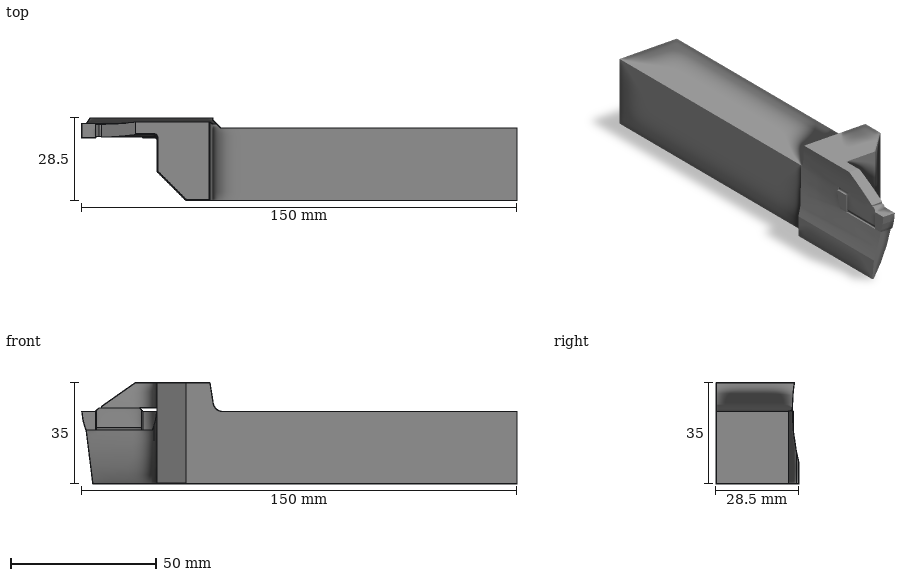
import cadquery as cq
import math


overall_length = 150.0
shank_size = 25.0

head_height = 35.0
head_front_x = 25.9
head_chamfer = 10.0
head_top_rear_x = 44.2
head_rear_x = 45.75
head_rear_fillet = 3.3
shoulder_x = 45.2
shoulder_bevel = 2.7
edge_break = 0.3

blade_back_y = 28.5
blade_foot_x = 3.8
clamp_top_x = 18.6
clamp_nose_x = 6.8
clamp_nose_z = 26.7
front_arc_radius = 55.0
front_arc_y = 21.8
back_arc_radius = 70.0
back_arc_y = 26.3
blade_fillet = 1.0

seat_z = 18.5
seat_front_x = 1.5
clamp_jaw_z = 26.2

insert_length = 25.8
insert_width = 5.0
insert_center_y = 24.1
insert_head_length = 4.7
insert_flare_length = 0.45
neck_inset = 0.4
bottom_bevel_height = 1.0
head_bevel_run = 0.4
flank_break_x = 0.4
flank_break_z = 22.0

margin = 5.0
select_gap = 0.1


def side_outline():
    """Side profile of the whole holder, with the insert pocket still filled."""
    rear_foot = cq.selectors.NearestToPointSelector((head_rear_x, blade_back_y / 2, shank_size))
    return (
        cq.Workplane("XZ")
        .moveTo(blade_foot_x, 0)
        .lineTo(overall_length, 0)
        .lineTo(overall_length, shank_size)
        .lineTo(head_rear_x, shank_size)
        .lineTo(head_top_rear_x, head_height)
        .lineTo(clamp_top_x, head_height)
        .lineTo(clamp_nose_x, clamp_nose_z)
        .lineTo(clamp_nose_x, clamp_jaw_z)
        .lineTo(seat_front_x, seat_z)
        .close()
        .extrude(-blade_back_y)
        .edges(rear_foot)
        .fillet(head_rear_fillet)
    )


def plan_prism():
    """Plan outline of shank, head and blade, extruded to the head height."""
    outline = [
        (0, 0),
        (overall_length, 0),
        (overall_length, shank_size),
        (shoulder_x + shoulder_bevel, shank_size),
        (shoulder_x, shank_size + shoulder_bevel),
        (shoulder_x, blade_back_y),
        (0, blade_back_y),
    ]
    return cq.Workplane("XY").polyline(outline).close().extrude(head_height)


def arc_y(lowest_y, radius, z):
    """Y of a blade arc at height z; the arc is lowest level with the cutting edge."""
    return lowest_y + radius - math.sqrt(radius**2 - (z - shank_size) ** 2)


def front_relief():
    """Material removed in front of the blade's front arc, from the tip to the head wall."""
    return (
        cq.Workplane("YZ")
        .lineTo(arc_y(front_arc_y, front_arc_radius, 0), 0)
        .threePointArc(
            (front_arc_y, shank_size),
            (arc_y(front_arc_y, front_arc_radius, head_height), head_height),
        )
        .lineTo(0, head_height)
        .close()
        .extrude(head_front_x)
    )


def back_relief():
    """Material beyond the back arc; the blade stays flat where the arc passes its back."""
    flat_top_z = shank_size - math.sqrt(
        back_arc_radius**2 - (back_arc_radius + back_arc_y - blade_back_y) ** 2
    )
    return (
        cq.Workplane("YZ")
        .moveTo(blade_back_y, flat_top_z)
        .threePointArc(
            (back_arc_y, shank_size),
            (arc_y(back_arc_y, back_arc_radius, head_height), head_height),
        )
        .lineTo(blade_back_y, head_height)
        .close()
        .extrude(shoulder_x + shoulder_bevel)
    )


def insert_pocket():
    """Slot for the insert, open at the tip; its end wall follows the insert's rear flank."""
    outline = [
        (-margin, seat_z),
        (insert_length - seat_front_x, seat_z),
        (insert_length - seat_front_x + head_bevel_run, seat_z + bottom_bevel_height),
        (insert_length - flank_break_x, flank_break_z),
        (insert_length, shank_size),
        (head_front_x, shank_size),
        (head_front_x, clamp_jaw_z),
        (-margin, clamp_jaw_z),
    ]
    return cq.Workplane("XZ").polyline(outline).close().extrude(-blade_back_y)


def make_holder():
    holder = side_outline().intersect(plan_prism())
    holder = holder.cut(front_relief())
    holder = holder.cut(back_relief())

    wall_reach = cq.selectors.BoxSelector(
        (head_front_x - select_gap, front_arc_y, 0),
        (head_front_x + select_gap, blade_back_y, head_height),
    )
    holder = holder.edges(wall_reach).fillet(blade_fillet)

    corner = (
        cq.Workplane("XY")
        .moveTo(head_front_x, 0)
        .lineTo(head_front_x + head_chamfer, 0)
        .lineTo(head_front_x, head_chamfer)
        .close()
        .extrude(head_height)
    )
    holder = holder.cut(corner)

    blade_root_y = arc_y(front_arc_y, front_arc_radius, head_height) - blade_fillet
    block_top = cq.selectors.BoxSelector(
        (head_front_x - select_gap, -select_gap, head_height - select_gap),
        (head_rear_x, blade_root_y, head_height + select_gap),
    )
    corner_foot = cq.selectors.BoxSelector(
        (head_front_x, 0, -select_gap),
        (head_front_x + head_chamfer, head_chamfer, select_gap),
    )
    holder = holder.edges(block_top).chamfer(edge_break)
    holder = holder.edges(corner_foot).chamfer(edge_break)
    return holder.cut(insert_pocket())


def make_insert():
    """Double-ended grooving insert, the same at both ends."""
    ramp_start = insert_head_length
    ramp_end = ramp_start + clamp_jaw_z - shank_size
    half_side = [
        (seat_front_x, seat_z),
        (seat_front_x - head_bevel_run, seat_z + bottom_bevel_height),
        (flank_break_x, flank_break_z),
        (0, shank_size),
        (ramp_start, shank_size),
        (ramp_end, clamp_jaw_z),
    ]
    mirrored_side = [(insert_length - x, z) for x, z in reversed(half_side)]
    insert = (
        cq.Workplane("XZ", origin=(0, insert_center_y, 0))
        .polyline(half_side + mirrored_side)
        .close()
        .extrude(insert_width / 2, both=True)
    )

    neck_start = insert_head_length + insert_flare_length
    for side in (-1, 1):
        outer_y = insert_center_y + side * insert_width / 2
        neck_y = outer_y - side * neck_inset
        recess = (
            cq.Workplane("XY", origin=(0, 0, seat_z))
            .moveTo(insert_head_length, outer_y)
            .lineTo(neck_start, neck_y)
            .lineTo(insert_length - neck_start, neck_y)
            .lineTo(insert_length - insert_head_length, outer_y)
            .close()
            .extrude(clamp_jaw_z - seat_z)
        )
        bevel = (
            cq.Workplane("YZ", origin=(neck_start, 0, 0))
            .moveTo(neck_y, seat_z)
            .lineTo(neck_y - side * neck_inset, seat_z)
            .lineTo(neck_y, seat_z + bottom_bevel_height)
            .close()
            .extrude(insert_length - 2 * neck_start)
        )
        insert = insert.cut(recess).cut(bevel)
    return insert


holder = make_holder()
insert = make_insert()

result = cq.Compound.makeCompound([holder.val(), insert.val()])